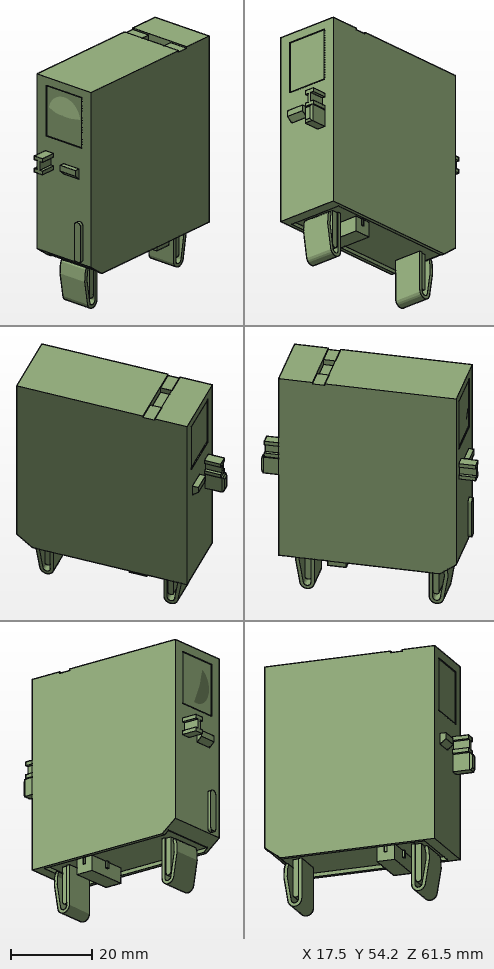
import cadquery as cq
import math


OVERALL_DEPTH = 54.2
OVERALL_HEIGHT = 61.52
WIDTH = 17.5
DEPTH = 44.9
HEIGHT = 50.2
FRONT = -DEPTH / 2
REAR = DEPTH / 2
TOE_RUN = 4.15
TOE_RISE = 3.1

SIDE_WALL = 1.0
END_WALL = 3.0
POCKET_WIDTH = WIDTH - 2 * SIDE_WALL
POCKET_LENGTH = DEPTH - 2 * END_WALL
RIM_HEIGHT = 1.0
PLATE_THICKNESS = 2.0

GROOVE_Y = 12.35
GROOVE_WIDTH = 3.1
GROOVE_DEPTH = 0.4
LATCH_WIDTH = 7.1
LATCH_DEPTH = 1.8

WINDOW_WIDTH = 11.5
WINDOW_HEIGHT = 13.6
WINDOW_Z = HEIGHT - 9.1
WINDOW_DEPTH = 0.3
LENS_RADIUS = 5.1
LENS_PROUD = 0.4
LENS_ROOT = 1.0
LENS_RISE = WINDOW_DEPTH + LENS_PROUD

BAR_X = -4.65
BAR_WIDTH = 2.65
BAR_TOP = HEIGHT - 19.9
BAR_HEIGHT = 4.35
BAR_FLANGE = 1.0
BAR_WEB = 0.95
BAR_PROUD = 4.25

TONGUE_WIDTH = 2.35
TONGUE_HEIGHT = 4.5
TONGUE_GAP = 0.2
TONGUE_PROUD = OVERALL_DEPTH - DEPTH - BAR_PROUD
TONGUE_CHAMFER = 0.6
TONGUE_INSET = 0.4

BUTTON_LENGTH = 4.95
BUTTON_TOP = HEIGHT - 21.7
BUTTON_FACE = 1.55
BUTTON_SLOPE = 1.25
FRONT_BUTTON_X = 2.4
FRONT_BUTTON_PROUD = 1.35
REAR_BUTTON_X = 2.55
REAR_BUTTON_PROUD = 1.55

RIB_X = 5.15
RIB_WIDTH = 2.05
RIB_TOP = 14.4
RIB_BOTTOM = 3.5
RIB_PROUD = 0.9

CLIP_WIDTH = 8.0
CLIP_THICKNESS = 0.9
CLIP_BOTTOM = OVERALL_HEIGHT - HEIGHT
CLIP_INNER_Y = 14.5
CLIP_BEND = 1.85
CLIP_KNEE = (18.8, -3.4)
CLIP_SHOULDER = (18.7, -1.3)
CLIP_TIP = (18.45, -0.35)
BLADE_WIDTH = 7.2
BLADE_THICKNESS = 1.55
BLADE_LENGTH = 8.8
BLADE_ROUNDING = 0.6

PLUG_WIDTH = WINDOW_WIDTH
PLUG_LENGTH = 4.7
PLUG_Y = 8.4
PLUG_DROP = 3.05
NUB_WIDTH = 0.75
NUB_DROP = 0.8
NUB_SIDE_PROUD = 0.22
NUB_END_PROUD = 0.47


def box(x_size, y_size, z_size, x, y, z_bottom):
    """Block centred on x and y, standing on z_bottom."""
    centred = (True, True, False)
    return cq.Workplane("XY").box(x_size, y_size, z_size, centred).translate((x, y, z_bottom))


def mirrored(shape):
    """The same shape on the opposite end of the part."""
    return shape.mirror("XZ")


def side_profile(points):
    """Closed polygon in the YZ plane."""
    return cq.Workplane("YZ").polyline(points).close()


def body_block():
    block = box(WIDTH, DEPTH, HEIGHT, 0, 0, 0)
    return block.cut(toe_wedge())


def toe_wedge():
    """Everything below the plane of the sloped front edge, reaching out past the front face to the rib."""
    slope = TOE_RISE / TOE_RUN
    outer_y = FRONT - RIB_PROUD
    points = [
        (FRONT + TOE_RUN, 0),
        (outer_y, TOE_RISE + RIB_PROUD * slope),
        (outer_y, 0),
    ]
    return side_profile(points).extrude(WIDTH / 2, both=True)


def top_groove():
    groove = box(WIDTH, GROOVE_WIDTH, GROOVE_DEPTH, 0, GROOVE_Y, HEIGHT - GROOVE_DEPTH)
    latch = box(LATCH_WIDTH, GROOVE_WIDTH, LATCH_DEPTH, 0, GROOVE_Y, HEIGHT - LATCH_DEPTH)
    return groove.union(latch)


def front_window():
    return box(
        WINDOW_WIDTH, 2 * WINDOW_DEPTH, WINDOW_HEIGHT, 0, FRONT, WINDOW_Z - WINDOW_HEIGHT / 2
    )


def front_lens():
    """Spherical cap on a short cylindrical root that is sunk into the window floor."""
    floor = FRONT + WINDOW_DEPTH
    sphere_radius = (LENS_RADIUS**2 + LENS_RISE**2) / (2 * LENS_RISE)
    half_angle = math.asin(LENS_RADIUS / sphere_radius) / 2
    crown = floor - LENS_RISE
    arc_middle = (
        crown + sphere_radius * (1 - math.cos(half_angle)),
        sphere_radius * math.sin(half_angle),
    )
    return (
        cq.Workplane("YZ", origin=(0, 0, WINDOW_Z))
        .moveTo(floor + LENS_ROOT, 0)
        .lineTo(crown, 0)
        .threePointArc(arc_middle, (floor, LENS_RADIUS))
        .lineTo(floor + LENS_ROOT, LENS_RADIUS)
        .close()
        .revolve(360, (0, 0, 0), (1, 0, 0))
    )


def i_bar():
    length = DEPTH + 2 * BAR_PROUD
    bottom = BAR_TOP - BAR_HEIGHT
    web = box(BAR_WEB, length, BAR_HEIGHT, BAR_X, 0, bottom)
    top_flange = box(BAR_WIDTH, length, BAR_FLANGE, BAR_X, 0, BAR_TOP - BAR_FLANGE)
    bottom_flange = box(BAR_WIDTH, length, BAR_FLANGE, BAR_X, 0, bottom)
    return web.union(top_flange).union(bottom_flange)


def tongue():
    left = BAR_X - BAR_WIDTH / 2
    bottom = BAR_TOP - BAR_HEIGHT - TONGUE_GAP - TONGUE_HEIGHT
    block = box(
        TONGUE_WIDTH, TONGUE_PROUD, TONGUE_HEIGHT, left + TONGUE_WIDTH / 2, REAR + TONGUE_PROUD / 2, bottom
    )
    return block.faces(">Y").chamfer(TONGUE_CHAMFER, TONGUE_INSET)


def front_button(x, proud):
    bottom = BUTTON_TOP - BUTTON_FACE - BUTTON_SLOPE
    points = [
        (FRONT, BUTTON_TOP),
        (FRONT - proud, BUTTON_TOP),
        (FRONT - proud, BUTTON_TOP - BUTTON_FACE),
        (FRONT, bottom),
    ]
    return side_profile(points).extrude(BUTTON_LENGTH / 2, both=True).translate((x, 0, 0))


def foot_rib():
    height = RIB_TOP - RIB_BOTTOM
    rib = (
        cq.Workplane("XZ", origin=(RIB_X, FRONT, RIB_BOTTOM + height / 2))
        .slot2D(height, RIB_WIDTH, 90)
        .extrude(RIB_PROUD)
    )
    return rib.cut(toe_wedge())


def make_housing():
    housing = body_block().cut(top_groove())
    housing = housing.cut(front_window()).cut(mirrored(front_window()))
    housing = housing.union(front_lens()).union(mirrored(front_lens()))
    housing = housing.union(i_bar()).union(tongue()).union(foot_rib())
    housing = housing.union(front_button(FRONT_BUTTON_X, FRONT_BUTTON_PROUD))
    housing = housing.union(mirrored(front_button(REAR_BUTTON_X, REAR_BUTTON_PROUD)))
    pocket = box(POCKET_WIDTH, POCKET_LENGTH, RIM_HEIGHT + PLATE_THICKNESS, 0, 0, 0)
    return housing.cut(pocket)


def rear_clip():
    """Bent strip: fixed leg, half-round bend, and a free leg leaning out to a knee and back in."""
    half = CLIP_THICKNESS / 2
    radius = CLIP_BEND - half
    centre_y = CLIP_INNER_Y + CLIP_BEND
    centre_z = CLIP_BEND - CLIP_BOTTOM
    run = CLIP_KNEE[0] - centre_y
    rise = CLIP_KNEE[1] - centre_z
    leave = math.atan2(rise, run) - math.acos(radius / math.hypot(run, rise))
    leave_point = (centre_y + radius * math.cos(leave), centre_z + radius * math.sin(leave))
    midline = (
        cq.Workplane("YZ")
        .moveTo(CLIP_INNER_Y + half, RIM_HEIGHT + half)
        .lineTo(CLIP_INNER_Y + half, centre_z)
        .threePointArc((centre_y, centre_z - radius), leave_point)
        .lineTo(*CLIP_KNEE)
        .lineTo(*CLIP_SHOULDER)
        .lineTo(*CLIP_TIP)
    )
    return midline.offset2D(half).extrude(CLIP_WIDTH / 2, both=True)


def rear_blade():
    y = CLIP_INNER_Y + CLIP_THICKNESS + BLADE_THICKNESS / 2
    blade = box(BLADE_WIDTH, BLADE_THICKNESS, BLADE_LENGTH + RIM_HEIGHT, 0, y, -BLADE_LENGTH)
    return blade.faces("<Z").edges("|X").fillet(BLADE_ROUNDING)


def plug():
    body = box(PLUG_WIDTH, PLUG_LENGTH, PLUG_DROP + RIM_HEIGHT, 0, PLUG_Y, -PLUG_DROP)
    nub_height = NUB_DROP + RIM_HEIGHT
    side_nubs = box(PLUG_WIDTH + 2 * NUB_SIDE_PROUD, NUB_WIDTH, nub_height, 0, PLUG_Y, -NUB_DROP)
    end_nubs = box(NUB_WIDTH, PLUG_LENGTH + 2 * NUB_END_PROUD, nub_height, 0, PLUG_Y, -NUB_DROP)
    return body.union(side_nubs).union(end_nubs)


def make_base():
    base = box(POCKET_WIDTH, POCKET_LENGTH, PLATE_THICKNESS, 0, 0, RIM_HEIGHT)
    contact = rear_clip().union(rear_blade())
    return base.union(contact).union(mirrored(contact)).union(plug())


housing = make_housing()
base = make_base()
result = cq.Compound.makeCompound([housing.val(), base.val()])